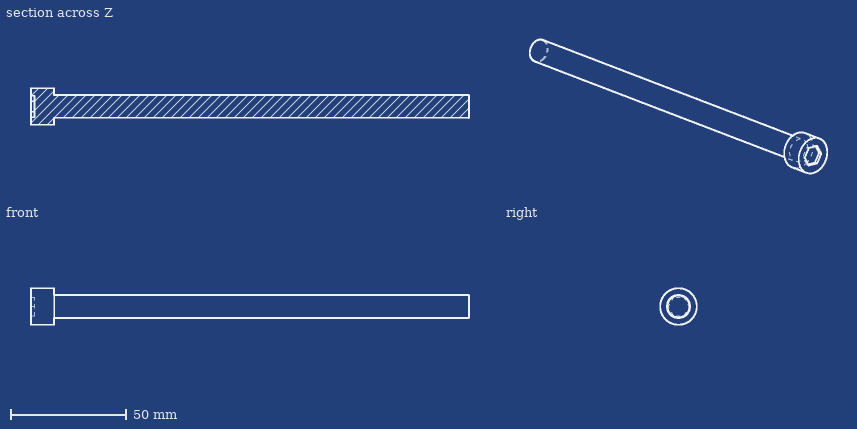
import cadquery as cq
import math

total_length = 190.0
head_diameter = 16.0
shank_diameter = 10.0
head_length = 10.0
tip_chamfer = 0.28
socket_across_flats = 8.0
socket_depth = 1.5

head_face_x = -total_length / 2


def rod(start_x, diameter, length):
    """Solid cylinder along +X, starting at start_x."""
    return cq.Workplane("YZ", origin=(start_x, 0, 0)).circle(diameter / 2).extrude(length)


head = rod(head_face_x, head_diameter, head_length)
shank = rod(head_face_x + head_length, shank_diameter, total_length - head_length)
shank = shank.faces(">X").chamfer(tip_chamfer)

socket_across_corners = socket_across_flats / math.cos(math.pi / 6)
socket = (
    cq.Workplane("YZ", origin=(head_face_x, 0, 0))
    .polygon(6, socket_across_corners)
    .extrude(socket_depth)
)

result = head.union(shank).cut(socket)